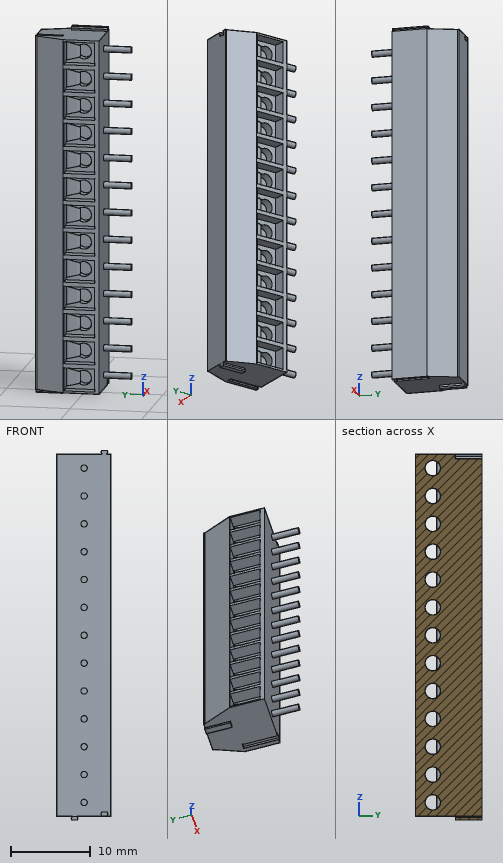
import cadquery as cq

pole_count = 13
pitch = 3.5
body_height = pole_count * pitch
body_width = 6.8
body_depth = 8.4

side_depth = 4.6
back_width = 4.0
back_lip = 0.2

pin_x = 0.05
pin_diameter = 0.8
pin_length = 3.5

window_height = 2.95
window_depth = 1.45
window_front = 0.57
window_floor_front = 0.7
window_back = 4.5

wire_hole_radius = 0.95
wire_hole_y = 2.2
wire_hole_depth = 1.2

leaf_front = 2.7
leaf_back = window_back
leaf_front_width = 1.5
leaf_back_width = 2.4
leaf_sink = 0.05
leaf_bend_length = 0.42
leaf_bend_depth = 0.35
leaf_bend_radius = (leaf_bend_length**2 + leaf_bend_depth**2) / (2 * leaf_bend_depth)
leaf_opening_depth = leaf_sink + leaf_bend_depth

key_height = 0.48
groove_depth = 0.56
key_shoulder_height = 0.28
key_root_half_width = 0.3
key_shoulder_half_width = 0.43
key_tip_half_width = 0.36
front_key_x = 2.6
front_key_length = side_depth
back_key_x = -1.15
back_key_length = 3.35

half_width = body_width / 2
half_height = body_height / 2
floor_x = -half_width + window_depth
pole_heights = [(i - (pole_count - 1) / 2) * pitch for i in range(pole_count)]


def make_housing():
    """Prism along Z with its front face on Y = 0."""
    right_side = [
        (half_width, 0),
        (half_width, side_depth),
        (back_width / 2, body_depth - back_lip),
        (back_width / 2, body_depth),
    ]
    left_side = [(-x, y) for x, y in reversed(right_side)]
    outline = cq.Workplane("XY").workplane(offset=-half_height)
    return outline.polyline(right_side + left_side).close().extrude(body_height)


def make_key(x, y_start, length, z_end, direction, height):
    """Dovetail bar along Y, widest at its shoulder, rising by height along direction * Z."""
    right_side = [
        (key_root_half_width, 0),
        (key_shoulder_half_width, direction * key_shoulder_height),
        (key_tip_half_width, direction * height),
    ]
    left_side = [(-half_span, z) for half_span, z in reversed(right_side)]
    sketch = cq.Workplane("XZ", origin=(x, y_start + length, z_end))
    return sketch.polyline(right_side + left_side).close().extrude(length)


def make_window(z):
    """Recess whose front wall leans slightly inwards."""
    profile = [
        (-half_width, window_front),
        (floor_x, window_floor_front),
        (floor_x, window_back),
        (-body_width, window_back),
        (-body_width, window_front),
    ]
    sketch = cq.Workplane("XY").workplane(offset=z - window_height / 2)
    return sketch.polyline(profile).close().extrude(window_height)


def make_leaf_opening(z):
    """Tapered prism going from the window floor into the housing."""
    outline = [
        (leaf_front, -leaf_front_width / 2),
        (leaf_front, leaf_front_width / 2),
        (leaf_back, leaf_back_width / 2),
        (leaf_back, -leaf_back_width / 2),
    ]
    sketch = cq.Workplane("YZ", origin=(floor_x, 0, z))
    return sketch.polyline(outline).close().extrude(leaf_opening_depth)


def make_wire_hole(z):
    """Blind round hole overlapping the front end of the leaf opening."""
    sketch = cq.Workplane("YZ", origin=(floor_x, wire_hole_y, z))
    return sketch.circle(wire_hole_radius).extrude(wire_hole_depth)


def make_leaf(z):
    """Bent contact plate, trimmed to the tapered opening."""
    face_x = floor_x + leaf_sink
    rear_x = face_x + leaf_bend_depth
    plate = (
        cq.Workplane("XY", origin=(0, 0, z - leaf_back_width / 2))
        .moveTo(rear_x, leaf_front)
        .radiusArc((face_x, leaf_front + leaf_bend_length), leaf_bend_radius)
        .lineTo(face_x, leaf_back - leaf_bend_length)
        .radiusArc((rear_x, leaf_back), leaf_bend_radius)
        .close()
        .extrude(leaf_back_width)
    )
    return plate.intersect(make_leaf_opening(z))


def make_pin(z):
    """Round pin standing out of the front face."""
    return cq.Workplane("XZ", origin=(pin_x, 0, z)).circle(pin_diameter / 2).extrude(pin_length)


result = make_housing()

back_key_start = body_depth - back_key_length
keyways = [
    (front_key_x, 0, front_key_length, 1),
    (back_key_x, back_key_start, back_key_length, -1),
]
for key_x, y_start, length, direction in keyways:
    key_end = direction * half_height
    result = result.cut(make_key(key_x, y_start, length, -key_end, direction, groove_depth))
    result = result.union(make_key(key_x, y_start, length, key_end, direction, key_height))

for pole_z in pole_heights:
    result = result.cut(make_window(pole_z))
    result = result.cut(make_wire_hole(pole_z))
    result = result.cut(make_leaf_opening(pole_z))
    result = result.union(make_leaf(pole_z))
    result = result.union(make_pin(pole_z))